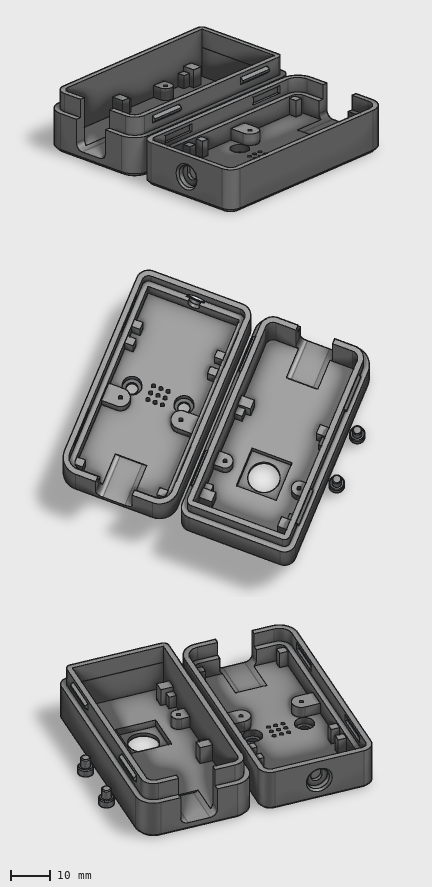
import cadquery as cq
OVERALL_WIDTH = 68.4
CASE_WIDTH = 31.0
CASE_LENGTH = 58.5
SLOT_END_RADIUS = 5.0
RIM = 1.5
WALL = 2 * RIM
FLOOR = 3.0
BOTTOM_CHAMFER = 1.0
INNER_WIDTH = CASE_WIDTH - 2 * WALL
CASE_GAP = 2.0

SLOT_WIDTH = 10.0
SLOT_RADIUS = 2.0
SLOT_FLOOR = 2.5

RIDGE_LENGTH = 10.0
RIDGE_DEPTH = 0.75
RIDGE_HEIGHT = 2.05
RIDGE_ABOVE_SHOULDER = 2.0
RIDGE_FROM_SLOT_END = (13.0, 46.15)

SCREW_HOLE = 1.0
SCREW_HOLE_DEPTH = 2.0

HOUSING_X = -(CASE_WIDTH + CASE_GAP) / 2
HOUSING_SLOT_END = -1
HOUSING_PLAIN_RADIUS = 3.0
HOUSING_SHOULDER = 11.0
HOUSING_HEIGHT = 16.1
HOUSING_CHANNEL = 11.4
LIP_RELIEF = 0.1

WINDOW_SIDE = 10.95
WINDOW_Y = 8.6
WINDOW_FLOOR = 1.0
LENS_HOLE = 8.2
LENS_Y = 8.75

HOUSING_STOP_HEIGHT = 5.0
HOUSING_STOP_REACH = 3.5
HOUSING_REST_HEIGHT = 3.6
HOUSING_REST_REACH = 2.05
HOUSING_POSTS = (
    (HOUSING_STOP_REACH, (19.35, 22.15), HOUSING_STOP_HEIGHT),
    (HOUSING_REST_REACH, (17.3, 19.35), HOUSING_REST_HEIGHT),
    (HOUSING_REST_REACH, (-4.85, -2.7), HOUSING_REST_HEIGHT),
    (HOUSING_STOP_REACH, (-7.45, -4.85), HOUSING_STOP_HEIGHT),
)
HOUSING_BOSS_Y = 10.0
HOUSING_BOSS_X = 10.1
HOUSING_BOSS_WIDTH = 4.0
HOUSING_BOSS_HEIGHT = 3.3

LID_X = -HOUSING_X
LID_SLOT_END = 1
LID_PLAIN_RADIUS = 3.3
LID_HEIGHT = 12.05
LID_LEDGE = 8.0
LID_CHANNEL = 11.9
LID_GROOVE_BOTTOM = 9.1

LID_POST_REACH = 2.3
LID_POST_WIDTH = 2.05
LID_POST_HEIGHT = 4.5
LID_POST_YS = (24.2, -11.0, -15.8)
LID_BOSS_X = 8.3
LID_BOSS_Y = 3.7
LID_BOSS_WIDTH = 5.05
LID_BOSS_HEIGHT = 3.15

BUTTON_HOLE_X = 7.1
BUTTON_HOLE_Y = -1.4
BUTTON_HOLE = 3.15
BUTTON_SEAT = 5.05
BUTTON_SEAT_FLOOR = 1.0

GRILLE_COUNT = 3
GRILLE_PITCH = 2.0
GRILLE_HOLE = 1.0

JACK_Z = 6.15
JACK_DIAMETER = 6.0
JACK_CHAMFER = 0.55
JACK_DEPTH = 2.0
JACK_SLOT_WIDTH = 3.0

BUTTON_HEAD = 4.05
BUTTON_HEAD_HEIGHT = 2.05
BUTTON_STEM = 2.5
BUTTON_HEIGHT = 4.8
BUTTON_CHAMFER = 0.3
BUTTON_X = LID_X + CASE_WIDTH / 2 - OVERALL_WIDTH + BUTTON_HEAD / 2
BUTTON_YS = (3.7, -10.6)


def block(x_range, y_range, z_range):
    """Plain box given by its limits along each axis."""
    (x0, x1), (y0, y1), (z0, z1) = x_range, y_range, z_range
    return cq.Workplane("XY").box(x1 - x0, y1 - y0, z1 - z0, centered=False).translate((x0, y0, z0))


def cylinder(x, y, diameter, bottom, top):
    """Upright cylinder."""
    return cq.Workplane("XY", origin=(x, y, bottom)).circle(diameter / 2).extrude(top - bottom)


def case_block(inset, bottom, top, slot_end, plain_radius):
    """Block following the case outline, moved inward by the inset, with concentric corners."""
    solid = cq.Workplane("XY").box(
        CASE_WIDTH - 2 * inset, CASE_LENGTH - 2 * inset, top - bottom, centered=(True, True, False)
    )
    for side, outer_radius in ((slot_end, SLOT_END_RADIUS), (-slot_end, plain_radius)):
        radius = outer_radius - inset
        if radius > 0:
            solid = solid.edges("|Z").edges(">Y" if side > 0 else "<Y").fillet(radius)
    return solid.translate((0, 0, bottom))


def cable_slot(length, slot_end):
    """Cutter for the cable slot, starting at the outer end face."""
    height = HOUSING_HEIGHT - SLOT_FLOOR
    cutter = cq.Workplane("XY").box(SLOT_WIDTH, length, height, centered=(True, True, False))
    cutter = cutter.edges("|Y and <Z").fillet(SLOT_RADIUS)
    return cutter.translate((0, slot_end * (CASE_LENGTH - length) / 2, SLOT_FLOOR))


def along_rim(right_piece, slot_end):
    """Repeat a piece made for the +X side at both snap places on both long sides."""
    pieces = cq.Workplane("XY")
    for distance in RIDGE_FROM_SLOT_END:
        piece = right_piece.translate((0, slot_end * (CASE_LENGTH / 2 - distance), 0))
        pieces = pieces.add(piece).add(piece.mirror("YZ"))
    return pieces.combine()


def snap_ridges():
    """Ridges with 45 degree slopes along both long sides of the lip."""
    lip_x = CASE_WIDTH / 2 - RIM
    crest_x = lip_x + RIDGE_DEPTH
    bottom = HOUSING_SHOULDER + RIDGE_ABOVE_SHOULDER
    top = bottom + RIDGE_HEIGHT
    profile = [
        (lip_x, bottom),
        (crest_x, bottom + RIDGE_DEPTH),
        (crest_x, top - RIDGE_DEPTH),
        (lip_x, top),
    ]
    ridge = cq.Workplane("XZ").polyline(profile).close().extrude(RIDGE_LENGTH / 2, both=True)
    return along_rim(ridge, HOUSING_SLOT_END)


def snap_grooves():
    """Cutters for the square-sided grooves inside the lid rim."""
    rim_x = CASE_WIDTH / 2 - RIM
    groove = block(
        (rim_x, rim_x + RIDGE_DEPTH),
        (-RIDGE_LENGTH / 2, RIDGE_LENGTH / 2),
        (LID_GROOVE_BOTTOM, LID_GROOVE_BOTTOM + RIDGE_HEIGHT),
    )
    return along_rim(groove, LID_SLOT_END)


def wall_posts(reach, y_range, height):
    """Pair of posts rising from the floor, one against each long wall."""
    wall_x = INNER_WIDTH / 2
    post = block((wall_x - reach, wall_x), y_range, (FLOOR, FLOOR + height))
    return post.union(post.mirror("YZ"))


def screw_bosses(x, y, width, height):
    """Pair of round-nosed bosses against the long walls, each with a small blind hole."""
    top = FLOOR + height
    boss = block((x, INNER_WIDTH / 2), (y - width / 2, y + width / 2), (FLOOR, top))
    boss = boss.union(cylinder(x, y, width, FLOOR, top))
    boss = boss.cut(cylinder(x, y, SCREW_HOLE, top - SCREW_HOLE_DEPTH, top))
    return boss.union(boss.mirror("YZ"))


def make_housing():
    end = HOUSING_SLOT_END
    body = case_block(0, 0, HOUSING_SHOULDER, end, HOUSING_PLAIN_RADIUS).faces("<Z").chamfer(BOTTOM_CHAMFER)
    body = body.union(case_block(RIM, HOUSING_SHOULDER, HOUSING_HEIGHT, end, HOUSING_PLAIN_RADIUS))
    body = body.union(snap_ridges())

    cavity = case_block(WALL, FLOOR, HOUSING_HEIGHT, end, HOUSING_PLAIN_RADIUS)
    relief_end = CASE_LENGTH / 2 - WALL + LIP_RELIEF
    relief = block(
        (-INNER_WIDTH / 2, INNER_WIDTH / 2), (0, relief_end), (HOUSING_SHOULDER, HOUSING_HEIGHT)
    )
    body = body.cut(cavity).cut(relief)

    for reach, y_range, height in HOUSING_POSTS:
        body = body.union(wall_posts(reach, y_range, height))
    body = body.union(
        screw_bosses(HOUSING_BOSS_X, HOUSING_BOSS_Y, HOUSING_BOSS_WIDTH, HOUSING_BOSS_HEIGHT)
    )

    half = WINDOW_SIDE / 2
    body = body.cut(block((-half, half), (WINDOW_Y - half, WINDOW_Y + half), (WINDOW_FLOOR, FLOOR)))
    body = body.cut(cylinder(0, LENS_Y, LENS_HOLE, 0, FLOOR))

    body = body.cut(cable_slot(HOUSING_CHANNEL, end))
    return body.translate((HOUSING_X, 0, 0))


def jack_opening():
    """Round chamfered recess in the -Y wall, with a narrow U-slot on into the cavity."""
    outer_y = -CASE_LENGTH / 2
    face = cq.Workplane("XZ", origin=(0, outer_y, JACK_Z))
    recess = face.circle(JACK_DIAMETER / 2).extrude(-JACK_DEPTH)
    mouth_radius = JACK_DIAMETER / 2 + JACK_CHAMFER
    mouth = cq.Solid.makeCone(
        mouth_radius,
        JACK_DIAMETER / 2,
        JACK_CHAMFER,
        pnt=cq.Vector(0, outer_y, JACK_Z),
        dir=cq.Vector(0, 1, 0),
    )
    slot = face.circle(JACK_SLOT_WIDTH / 2).extrude(-WALL)
    half = JACK_SLOT_WIDTH / 2
    slot = slot.union(block((-half, half), (outer_y, outer_y + WALL), (JACK_Z, LID_LEDGE)))
    return recess.union(cq.Workplane(mouth)).union(slot)


def make_lid():
    end = LID_SLOT_END
    body = case_block(0, 0, LID_HEIGHT, end, LID_PLAIN_RADIUS).faces("<Z").chamfer(BOTTOM_CHAMFER)
    body = body.cut(case_block(RIM, LID_LEDGE, LID_HEIGHT, end, LID_PLAIN_RADIUS))
    body = body.cut(case_block(WALL, FLOOR, LID_HEIGHT, end, LID_PLAIN_RADIUS))
    body = body.cut(snap_grooves())

    for y in LID_POST_YS:
        y_range = (y - LID_POST_WIDTH / 2, y + LID_POST_WIDTH / 2)
        body = body.union(wall_posts(LID_POST_REACH, y_range, LID_POST_HEIGHT))
    body = body.union(screw_bosses(LID_BOSS_X, LID_BOSS_Y, LID_BOSS_WIDTH, LID_BOSS_HEIGHT))

    for x in (-BUTTON_HOLE_X, BUTTON_HOLE_X):
        body = body.cut(cylinder(x, BUTTON_HOLE_Y, BUTTON_HOLE, 0, FLOOR))
        body = body.cut(cylinder(x, BUTTON_HOLE_Y, BUTTON_SEAT, BUTTON_SEAT_FLOOR, FLOOR))

    grille = (
        cq.Workplane("XY")
        .center(0, BUTTON_HOLE_Y)
        .rarray(GRILLE_PITCH, GRILLE_PITCH, GRILLE_COUNT, GRILLE_COUNT)
        .circle(GRILLE_HOLE / 2)
        .extrude(FLOOR)
    )
    body = body.cut(grille).cut(jack_opening()).cut(cable_slot(LID_CHANNEL, end))
    return body.translate((LID_X, 0, 0))


def make_button(y):
    head = cylinder(BUTTON_X, y, BUTTON_HEAD, 0, BUTTON_HEAD_HEIGHT).faces(">Z").chamfer(BUTTON_CHAMFER)
    stem = cylinder(BUTTON_X, y, BUTTON_STEM, 0, BUTTON_HEIGHT).faces(">Z").chamfer(BUTTON_CHAMFER)
    return head.union(stem)


housing = make_housing()
lid = make_lid()
buttons = [make_button(y) for y in BUTTON_YS]

result = cq.Compound.makeCompound([housing.val(), lid.val(), *[button.val() for button in buttons]])